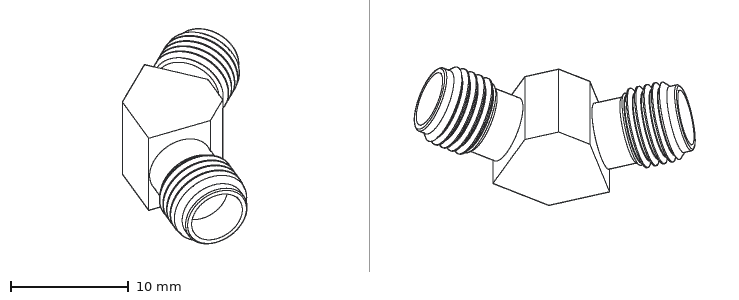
import cadquery as cq
import math

SECOND_AXIS_ANGLE = 135.0

BARREL_RADIUS = 2.88
NECK_RADIUS = 2.05
THREAD_RADIUS = 3.45
THREAD_ROOT_RADIUS = 2.97
BORE_RADIUS = 2.37

NECK_LENGTH = 0.18
THREAD_START = 2.65
THREAD_END = 6.83
CONNECTOR_LENGTH = 7.65
TIP_CHAMFER = 0.13
BORE_DEPTH = 3.02

THREAD_PITCH = 0.743
GROOVE_COUNT = 5
FIRST_GROOVE = 3.08
FLANK_ANGLE = 30.0
ROOT_HALF_WIDTH = 0.033
GROOVE_DEPTH = THREAD_RADIUS - THREAD_ROOT_RADIUS
GROOVE_HALF_WIDTH = ROOT_HALF_WIDTH + GROOVE_DEPTH * math.tan(math.radians(FLANK_ANGLE))
END_CONE_LENGTH = THREAD_RADIUS - BARREL_RADIUS

BLOCK_SIZE = 7.9
FACE_HALF_WIDTH = BARREL_RADIUS
BLOCK_TOP_Y = BLOCK_SIZE - FACE_HALF_WIDTH
FACE_DISTANCE = BLOCK_TOP_Y * math.sqrt(2) - FACE_HALF_WIDTH
CORNER_CUT = BLOCK_TOP_Y - FACE_HALF_WIDTH
OUTER_CORNER_X = -FACE_HALF_WIDTH * math.tan(math.radians((180.0 - SECOND_AXIS_ANGLE) / 2))


def point_on_second_face(offset):
    """Point on the second mounting face, at a sideways offset from that connector's axis."""
    angle = math.radians(SECOND_AXIS_ANGLE)
    x = FACE_DISTANCE * math.cos(angle) + offset * math.sin(angle)
    y = FACE_DISTANCE * math.sin(angle) - offset * math.cos(angle)
    return (x, y)


def make_block():
    """Six-sided prism, mirror symmetric about the line that halves the bend."""
    outline = [
        (FACE_DISTANCE, -FACE_HALF_WIDTH),
        (FACE_DISTANCE, FACE_HALF_WIDTH),
        (FACE_DISTANCE - CORNER_CUT, BLOCK_TOP_Y),
        point_on_second_face(FACE_HALF_WIDTH),
        point_on_second_face(-FACE_HALF_WIDTH),
        (OUTER_CORNER_X, -FACE_HALF_WIDTH),
    ]
    return cq.Workplane("XY").polyline(outline).close().extrude(BLOCK_SIZE / 2, both=True)


def revolve_about_x(profile):
    """Turn a closed (axial position, radius) profile about the X axis."""
    return cq.Workplane("XY").polyline(profile).close().revolve(360, (0, 0, 0), (1, 0, 0))


def make_thread_groove(center):
    """Ring that removes one thread groove, its flanks carried on past the crest."""
    overshoot = 0.22
    outer_half_width = GROOVE_HALF_WIDTH + overshoot * math.tan(math.radians(FLANK_ANGLE))
    outer_radius = THREAD_RADIUS + overshoot
    return revolve_about_x([
        (center - ROOT_HALF_WIDTH, THREAD_ROOT_RADIUS),
        (center + ROOT_HALF_WIDTH, THREAD_ROOT_RADIUS),
        (center + outer_half_width, outer_radius),
        (center - outer_half_width, outer_radius),
    ])


def make_connector(axis_angle):
    """Threaded connector with a blind bore, its neck touching the block."""
    connector = revolve_about_x([
        (0, 0),
        (0, NECK_RADIUS),
        (NECK_LENGTH, NECK_RADIUS),
        (NECK_LENGTH, BARREL_RADIUS),
        (THREAD_START, BARREL_RADIUS),
        (THREAD_START + END_CONE_LENGTH, THREAD_RADIUS),
        (THREAD_END - END_CONE_LENGTH, THREAD_RADIUS),
        (THREAD_END, BARREL_RADIUS),
        (CONNECTOR_LENGTH - TIP_CHAMFER, BARREL_RADIUS),
        (CONNECTOR_LENGTH, BARREL_RADIUS - TIP_CHAMFER),
        (CONNECTOR_LENGTH, BORE_RADIUS),
        (CONNECTOR_LENGTH - BORE_DEPTH, BORE_RADIUS),
        (CONNECTOR_LENGTH - BORE_DEPTH, 0),
    ])
    for index in range(GROOVE_COUNT):
        connector = connector.cut(make_thread_groove(FIRST_GROOVE + index * THREAD_PITCH))
    on_face = connector.translate((FACE_DISTANCE, 0, 0))
    return on_face.rotate((0, 0, 0), (0, 0, 1), axis_angle)


block = make_block()
connectors = [make_connector(angle) for angle in (0.0, SECOND_AXIS_ANGLE)]

result = cq.Compound.makeCompound([block.val(), *[connector.val() for connector in connectors]])